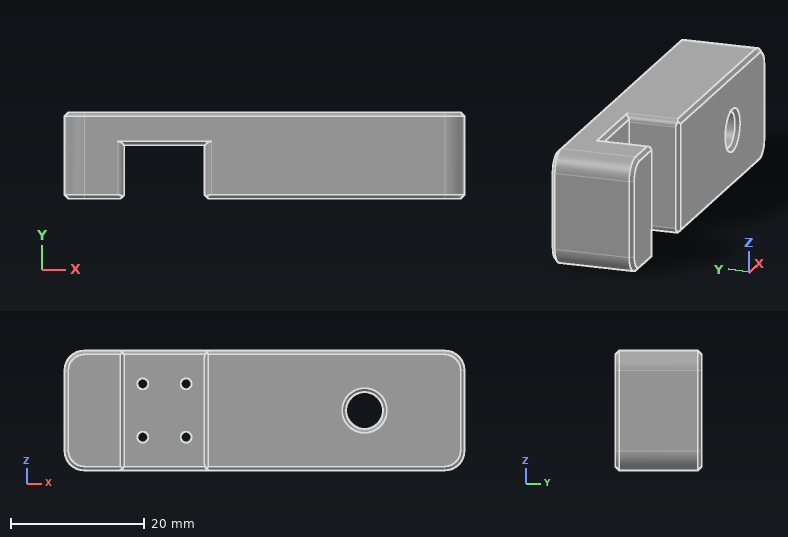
import cadquery as cq

length = 60.0
depth = 13.0
height = 18.0
corner_radius = 3.0
edge_chamfer = 0.6

slot_start = 9.0
slot_width = 12.0
web_thickness = 5.0
slot_edge_radius = 1.0

pin_hole_diameter = 1.6
pin_spacing_x = 6.5
pin_spacing_z = 8.0

bore_diameter = 5.5
bore_x = 45.0
bore_chamfer = 0.6

slot_end = slot_start + slot_width
slot_centre = slot_start + slot_width / 2
slot_depth = depth - web_thickness
half_height = height / 2


def make_block():
    """Plain block with its four end corners rounded."""
    block = cq.Workplane("XY").box(length, depth, height, centered=(False, False, True))
    return block.edges("|Y").fillet(corner_radius)


def make_plain_slot():
    """Square-edged slot volume."""
    slot = cq.Workplane("XY").box(slot_width, slot_depth, height, centered=(False, False, True))
    return slot.translate((slot_start, 0, 0))


def make_slot_edges():
    """Slot volume with its edges eased: rounded side edges, bevelled floor edges at the top and bottom."""
    outer_start = slot_start - slot_edge_radius
    outer_end = slot_end + slot_edge_radius
    arc_z = half_height - slot_edge_radius
    flared_sides = (
        cq.Workplane("XZ", origin=(0, depth, 0))
        .moveTo(outer_start, half_height)
        .lineTo(outer_end, half_height)
        .radiusArc((slot_end, arc_z), -slot_edge_radius)
        .lineTo(slot_end, -arc_z)
        .radiusArc((outer_end, -half_height), -slot_edge_radius)
        .lineTo(outer_start, -half_height)
        .radiusArc((slot_start, -arc_z), -slot_edge_radius)
        .lineTo(slot_start, arc_z)
        .radiusArc((outer_start, half_height), -slot_edge_radius)
        .close()
        .extrude(depth)
    )
    bevel_z = half_height - edge_chamfer
    bevelled_floor = (
        cq.Workplane("YZ")
        .moveTo(0, half_height)
        .lineTo(slot_depth + edge_chamfer, half_height)
        .lineTo(slot_depth, bevel_z)
        .lineTo(slot_depth, -bevel_z)
        .lineTo(slot_depth + edge_chamfer, -half_height)
        .lineTo(0, -half_height)
        .close()
        .extrude(length)
    )
    return flared_sides.intersect(bevelled_floor)


def make_pin_holes():
    """Rectangular pattern of holes through the web, centred on the slot."""
    return (
        cq.Workplane("XZ", origin=(slot_centre, depth, 0))
        .rarray(pin_spacing_x, pin_spacing_z, 2, 2)
        .circle(pin_hole_diameter / 2)
        .extrude(depth)
    )


def make_bore():
    """Through bore with a conical countersink at the front face."""
    bore_radius = bore_diameter / 2
    bore = cq.Workplane("XZ", origin=(bore_x, depth, 0)).circle(bore_radius).extrude(depth)
    countersink = cq.Solid.makeCone(
        bore_radius + bore_chamfer,
        bore_radius,
        bore_chamfer,
        pnt=cq.Vector(bore_x, 0, 0),
        dir=cq.Vector(0, 1, 0),
    )
    return bore.union(cq.Workplane(countersink))


body = make_block().cut(make_plain_slot())
body = body.faces("<Y or >Y").edges().chamfer(edge_chamfer)
body = body.cut(make_slot_edges())
body = body.cut(make_pin_holes())
result = body.cut(make_bore())